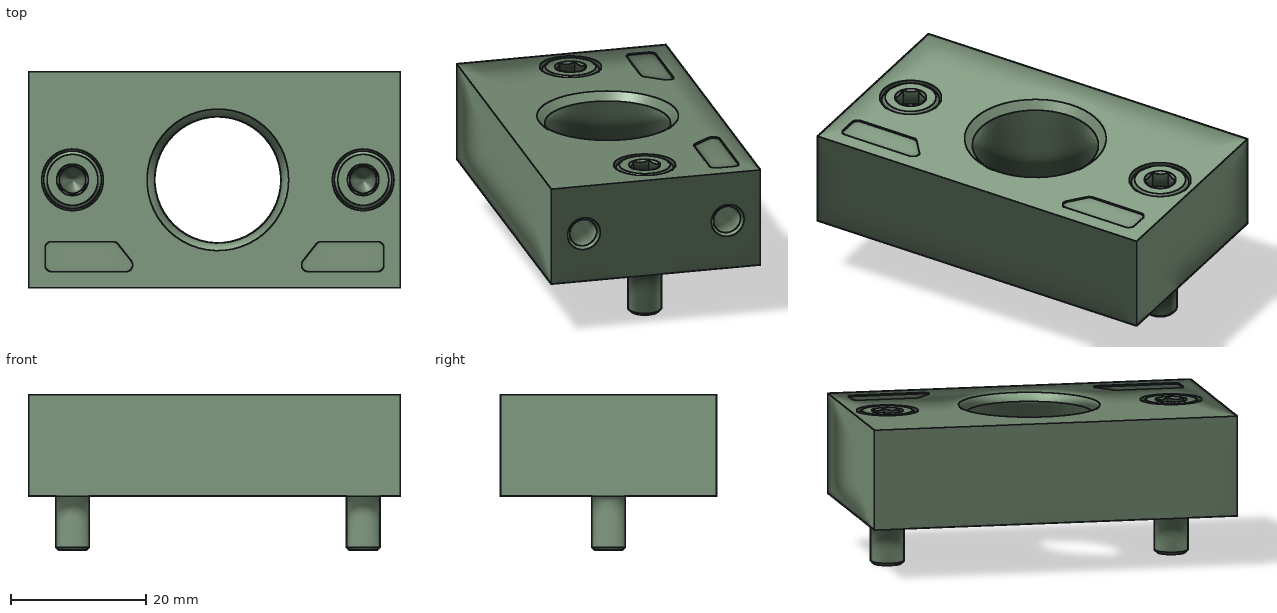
import cadquery as cq
import math

PLATE_LENGTH = 55
PLATE_WIDTH = 32.0
PLATE_HEIGHT = 15.0

BORE_X = 0.5
BORE_DIAMETER = 18.65
BORE_CHAMFER = 1.15

SCREW_SPACING = 43.0
SCREW_POSITIONS = [BORE_X - SCREW_SPACING / 2, BORE_X + SCREW_SPACING / 2]
SCREW_PROTRUSION = 8.0
SHANK_DIAMETER = 5.0
SHANK_TIP_CHAMFER = 0.45
HEAD_DIAMETER = 8.5
HEAD_HEIGHT = 5.0
HEAD_CHAMFER = 0.5
COUNTERBORE_DIAMETER = 9.15
HEAD_TOP = PLATE_HEIGHT
HEAD_SEAT = HEAD_TOP - HEAD_HEIGHT

SOCKET_ACROSS_FLATS = 3.95
SOCKET_ACROSS_CORNERS = SOCKET_ACROSS_FLATS / math.cos(math.radians(30))
SOCKET_RIM_DIAMETER = 4.7
SOCKET_DEPTH = 2.5

END_HOLE_SPACING = 22
END_HOLE_DIAMETER = 4.1
END_HOLE_RIM_DIAMETER = 5.0
END_HOLE_DEPTH = 10.0

DRILL_POINT_ANGLE = 120

POCKET_MARGIN = 2.4
POCKET_WIDTH = 4.45
POCKET_SLANT = 3.5
POCKET_DEPTH = 0.2
POCKET_CORNER_RADIUS = 1.0
LEFT_POCKET_LENGTH = 14.0
RIGHT_POCKET_LENGTH = 13.25


def drill_point_height(diameter):
    return diameter / 2 / math.tan(math.radians(DRILL_POINT_ANGLE / 2))


def make_bore():
    """Cutter for the through bore with its chamfered upper rim."""
    radius = BORE_DIAMETER / 2
    profile = [
        (0, 0),
        (radius, 0),
        (radius, PLATE_HEIGHT - BORE_CHAMFER),
        (radius + BORE_CHAMFER, PLATE_HEIGHT),
        (0, PLATE_HEIGHT),
    ]
    cutter = cq.Workplane("XZ").polyline(profile).close().revolve(360, (0, 0), (0, 1))
    return cutter.translate((BORE_X, 0, 0))


def make_screw_hole(x):
    """Cutter for a counterbored screw hole."""
    shank_hole = cq.Workplane("XY").circle(SHANK_DIAMETER / 2).extrude(PLATE_HEIGHT)
    counterbore = (
        cq.Workplane("XY", origin=(0, 0, HEAD_SEAT))
        .circle(COUNTERBORE_DIAMETER / 2)
        .extrude(PLATE_HEIGHT - HEAD_SEAT)
    )
    return shank_hole.union(counterbore).translate((x, 0, 0))


def make_end_hole(y):
    """Cutter for a countersunk blind hole that runs along X from the -X face."""
    radius = END_HOLE_DIAMETER / 2
    rim_radius = END_HOLE_RIM_DIAMETER / 2
    profile = [
        (0, 0),
        (0, rim_radius),
        (rim_radius - radius, radius),
        (END_HOLE_DEPTH, radius),
        (END_HOLE_DEPTH + drill_point_height(END_HOLE_DIAMETER), 0),
    ]
    cutter = cq.Workplane("XY").polyline(profile).close().revolve(360, (0, 0), (1, 0))
    return cutter.translate((-PLATE_LENGTH / 2, y, PLATE_HEIGHT / 2))


def make_pocket(length, side):
    """Cutter for a label pocket; side is -1 for the -X end and 1 for the +X end."""
    outer_x = side * (PLATE_LENGTH / 2 - POCKET_MARGIN)
    front_y = -PLATE_WIDTH / 2 + POCKET_MARGIN
    outline = [
        (outer_x, front_y),
        (outer_x - side * length, front_y),
        (outer_x - side * (length - POCKET_SLANT), front_y + POCKET_WIDTH),
        (outer_x, front_y + POCKET_WIDTH),
    ]
    return (
        cq.Workplane("XY", origin=(0, 0, PLATE_HEIGHT - POCKET_DEPTH))
        .polyline(outline)
        .close()
        .extrude(POCKET_DEPTH)
        .edges("|Z")
        .fillet(POCKET_CORNER_RADIUS)
    )


def make_plate():
    plate = cq.Workplane("XY").box(
        PLATE_LENGTH, PLATE_WIDTH, PLATE_HEIGHT, centered=(True, True, False)
    )
    plate = plate.cut(make_bore())
    for x in SCREW_POSITIONS:
        plate = plate.cut(make_screw_hole(x))
    for y in (-END_HOLE_SPACING / 2, END_HOLE_SPACING / 2):
        plate = plate.cut(make_end_hole(y))
    plate = plate.cut(make_pocket(LEFT_POCKET_LENGTH, -1))
    plate = plate.cut(make_pocket(RIGHT_POCKET_LENGTH, 1))
    return plate


def make_socket():
    """Cutter for the hexagon socket: countersunk rim, flats facing X, conical floor."""
    hexagon = (
        cq.Workplane("XY", origin=(0, 0, HEAD_TOP))
        .transformed(rotate=(0, 0, 90))
        .polygon(6, SOCKET_ACROSS_CORNERS)
        .extrude(-SOCKET_DEPTH)
    )
    flat_radius = SOCKET_ACROSS_FLATS / 2
    rim_radius = SOCKET_RIM_DIAMETER / 2
    floor = HEAD_TOP - SOCKET_DEPTH
    profile = [
        (0, floor - drill_point_height(SOCKET_ACROSS_FLATS)),
        (flat_radius, floor),
        (flat_radius, HEAD_TOP - (rim_radius - flat_radius)),
        (rim_radius, HEAD_TOP),
        (0, HEAD_TOP),
    ]
    rim_and_floor = cq.Workplane("XZ").polyline(profile).close().revolve(360, (0, 0), (0, 1))
    return hexagon.union(rim_and_floor)


def make_screw(x):
    shank = (
        cq.Workplane("XY", origin=(0, 0, -SCREW_PROTRUSION))
        .circle(SHANK_DIAMETER / 2)
        .extrude(SCREW_PROTRUSION + HEAD_SEAT)
        .faces("<Z")
        .chamfer(SHANK_TIP_CHAMFER)
    )
    head = (
        cq.Workplane("XY", origin=(0, 0, HEAD_SEAT))
        .circle(HEAD_DIAMETER / 2)
        .extrude(HEAD_HEIGHT)
        .faces(">Z")
        .chamfer(HEAD_CHAMFER)
    )
    return shank.union(head).cut(make_socket()).translate((x, 0, 0))


plate = make_plate()
screws = [make_screw(x) for x in SCREW_POSITIONS]

result = cq.Compound.makeCompound([plate.val(), *[screw.val() for screw in screws]])